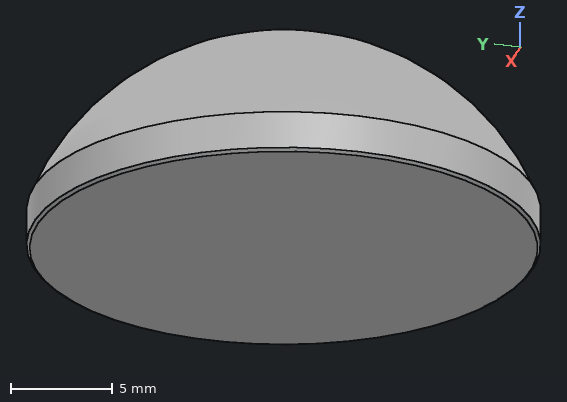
import cadquery as cq
import math

diameter = 25.4
height = 10.57
edge_height = 2.05
rim_chamfer = 0.15

radius = diameter / 2
dome_rise = height - edge_height
dome_radius = (radius**2 + dome_rise**2) / (2 * dome_rise)

half_angle = math.asin(radius / dome_radius) / 2
arc_middle = (
    dome_radius * math.sin(half_angle),
    height - dome_radius * (1 - math.cos(half_angle)),
)

result = (
    cq.Workplane("XZ")
    .lineTo(radius - rim_chamfer, 0)
    .lineTo(radius, rim_chamfer)
    .lineTo(radius, edge_height)
    .threePointArc(arc_middle, (0, height))
    .close()
    .revolve(360, (0, 0), (0, 1))
)